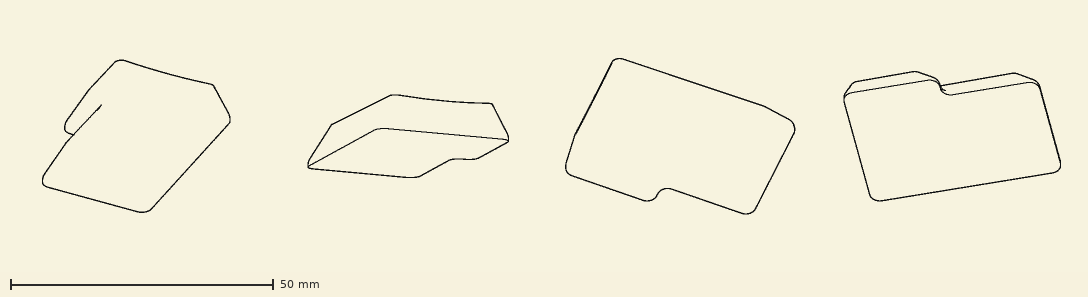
import cadquery as cq
import math

width = 27.45
depth = 37.2
step_x = 4.5
step_y = 18.53
base_corner = 2.0

side_inset = 3.27
front_inset = 4.28
back_inset = 0.65
step_inset = 4.0
rim_corner = 1.67

skirt_height = 1.0
front_rim_height = 7.78
tilt_angle = 1.1

scoop_radius = 122.8
scoop_center_height = 7.25

skirt_round = 1.5
rim_round = 0.2
joint_margin = 0.05


def l_outline(plane, left, right, front, back, notch_x, notch_y, corner):
    """Closed L-shaped wire with all six corners rounded."""
    points = [
        (notch_x, front),
        (right, front),
        (right, back),
        (left, back),
        (left, notch_y),
        (notch_x, notch_y),
    ]
    sharp = cq.Workplane(plane).polyline(points).close().val()
    return sharp.fillet2D(corner, sharp.Vertices())


tilt = math.radians(tilt_angle)
tilted_normal = cq.Vector(0, math.sin(tilt), math.cos(tilt))
rim_plane = cq.Plane(
    origin=(0, front_inset, front_rim_height),
    xDir=(1, 0, 0),
    normal=tilted_normal,
)


def along_slope(y):
    """Distance along the tilted plane from the front rim to a given Y."""
    return (y - front_inset) / math.cos(tilt)


def make_body():
    """Short vertical skirt with straight leaning walls rising to the tilted rim."""
    base = l_outline("XY", 0, width, 0, depth, step_x, step_y, base_corner)
    skirt = cq.Workplane("XY").add(base).toPending().extrude(skirt_height)
    rim = l_outline(
        rim_plane,
        side_inset,
        width - side_inset,
        0,
        along_slope(depth - back_inset),
        step_x + side_inset,
        along_slope(step_y + step_inset),
        rim_corner,
    )
    wall_foot = base.translate(cq.Vector(0, 0, skirt_height))
    walls = cq.Solid.makeLoft([wall_foot, rim], True)
    return skirt.union(cq.Workplane(walls))


def make_scoop():
    """Long cylinder lying front to back, parallel to the tilted rim plane."""
    axis_direction = cq.Vector(0, math.cos(tilt), -math.sin(tilt))
    axis_middle = cq.Vector(width / 2, front_inset, scoop_center_height)
    axis_middle += tilted_normal * scoop_radius
    start = axis_middle - axis_direction * depth
    length = 3 * depth
    return cq.Workplane(cq.Solid.makeCylinder(scoop_radius, length, start, axis_direction))


def round_skirt(body):
    """Blend the vertical skirt into the leaning walls."""
    joint_zone = cq.selectors.BoxSelector(
        (-joint_margin, -joint_margin, skirt_height - joint_margin),
        (width + joint_margin, depth + joint_margin, skirt_height + joint_margin),
    )
    return body.edges(joint_zone).fillet(skirt_round)


body = round_skirt(make_body())
scooped = body.cut(make_scoop())
result = scooped.faces(">Z").edges().fillet(rim_round)